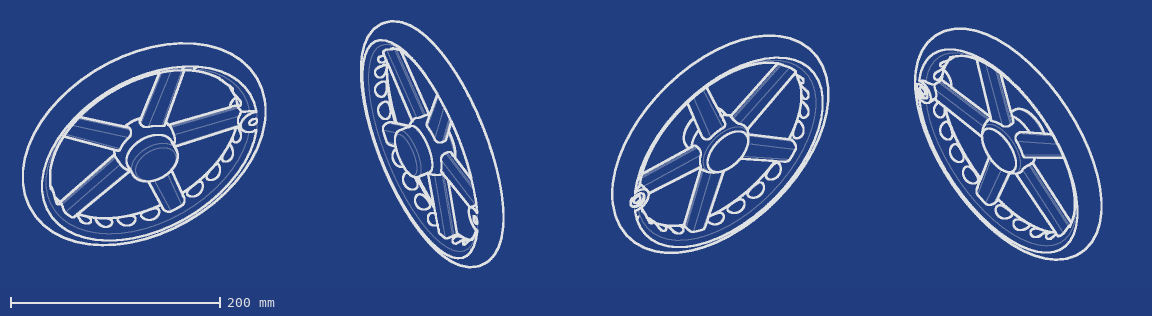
import cadquery as cq
import math

wheel_diameter = 250.0
wheel_depth = 42.0
rim_thickness = 26.7

rim_section_radius = rim_thickness / 2
rim_center_radius = wheel_diameter / 2 - rim_section_radius
rim_mid_x = rim_thickness / 2
lip_center_radius = 108.5
lip_section_radius = 10.2
lip_join_angle = 14
cove_sagitta = 0.5

hub_front_x = 1.2
hub_face_radius = 24.0
hub_chamfer = 3.0
hub_crown_radius = 30.2
hub_crown_x = 13.5
hub_back_fillet = 3.0

spoke_count = 5
spoke_step = 360 / spoke_count
spoke_inner_radius = 12.5
spoke_outer_radius = 105.0
spoke_inner_width = 26.5
spoke_outer_width = 22.5
spoke_thickness = 12.5
spoke_mid_x = rim_mid_x
spoke_edge_fillet = 5.5

handle_radius = 107.5
boss_radius = 13.0
handle_hole_diameter = 8.0
handle_recess_diameter = 16.0
handle_recess_depth = 1.2

grips_per_gap = 4
grip_step = spoke_step / (grips_per_gap + 1)
grip_ball_radius = 11.2
grip_center_radius = 91.2


def revolve_about_x(profile):
    return profile.close().revolve(360, (0, 0, 0), (1, 0, 0))


def about_x(body, angle):
    return body.rotate((0, 0, 0), (1, 0, 0), angle)


def make_rim():
    """Round rim whose inner side is a smaller round lip, met by a hollow cove on each face."""
    join_angle = math.radians(lip_join_angle)
    join_offset = lip_section_radius * math.cos(join_angle)
    join_radius = lip_center_radius - lip_section_radius * math.sin(join_angle)
    front_join = (rim_mid_x - join_offset, join_radius)
    back_join = (rim_mid_x + join_offset, join_radius)
    return revolve_about_x(
        cq.Workplane("XY")
        .moveTo(*front_join)
        .threePointArc((rim_mid_x, lip_center_radius - lip_section_radius), back_join)
        .sagittaArc((rim_thickness, rim_center_radius), cove_sagitta)
        .threePointArc((rim_mid_x, wheel_diameter / 2), (0, rim_center_radius))
        .sagittaArc(front_join, cove_sagitta)
    )


def make_hub():
    """Hub with a chamfered front face, a crowned middle and a plain cylinder behind the rim."""
    hub = revolve_about_x(
        cq.Workplane("XY")
        .moveTo(hub_front_x, 0)
        .lineTo(hub_front_x, hub_face_radius)
        .lineTo(hub_front_x + hub_chamfer, hub_face_radius + hub_chamfer)
        .threePointArc((hub_crown_x, hub_crown_radius), (rim_thickness, hub_face_radius))
        .lineTo(wheel_depth, hub_face_radius)
        .lineTo(wheel_depth, 0)
    )
    return hub.faces(">X").edges().fillet(hub_back_fillet)


def make_spoke():
    """Flat spoke along +Y, tapering in width toward the rim, with rounded edges."""
    spoke = (
        cq.Workplane("YZ", origin=(spoke_mid_x - spoke_thickness / 2, 0, 0))
        .moveTo(spoke_inner_radius, -spoke_inner_width / 2)
        .lineTo(spoke_outer_radius, -spoke_outer_width / 2)
        .lineTo(spoke_outer_radius, spoke_outer_width / 2)
        .lineTo(spoke_inner_radius, spoke_inner_width / 2)
        .close()
        .extrude(spoke_thickness)
    )
    return spoke.edges("not(|X or |Z)").fillet(spoke_edge_fillet)


def handle_cylinder(radius, depth):
    return cq.Workplane("YZ").center(handle_radius, 0).circle(radius).extrude(depth)


def make_boss():
    """Boss through the whole rim; it ends at the crest, where the rim starts to curve away."""
    crest_disc = cq.Workplane("YZ").circle(rim_center_radius).extrude(rim_thickness)
    return handle_cylinder(boss_radius, rim_thickness).intersect(crest_disc)


def make_grips():
    """Balls that scoop the finger grips, evenly spaced between neighbouring spokes."""
    grips = cq.Workplane("XY")
    ball = cq.Workplane("XY", origin=(rim_mid_x, grip_center_radius, 0)).sphere(grip_ball_radius)
    for gap in range(spoke_count):
        for grip in range(1, grips_per_gap + 1):
            grips = grips.add(about_x(ball, gap * spoke_step + grip * grip_step))
    return grips


result = make_rim()
for grip in make_grips().vals():
    result = result.cut(cq.Workplane(grip))
result = result.union(make_hub())
for number in range(spoke_count):
    result = result.union(about_x(make_spoke(), number * spoke_step))
result = result.union(make_boss())
result = result.cut(handle_cylinder(handle_recess_diameter / 2, handle_recess_depth))
result = result.cut(handle_cylinder(handle_hole_diameter / 2, wheel_depth))